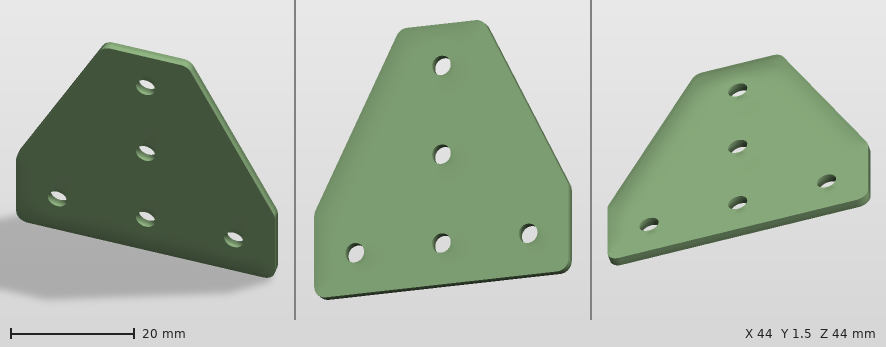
import cadquery as cq

width = 44.0
height = 44.0
thickness = 1.5
top_width = 14.35
side_height = 14.45
corner_radius = 2.0
hole_diameter = 3.25
hole_pitch = 15.0
hole_row_height = 7.0

bottom = -height / 2
top = height / 2
shoulder = bottom + side_height
outline = [
    (-width / 2, bottom),
    (width / 2, bottom),
    (width / 2, shoulder),
    (top_width / 2, top),
    (-top_width / 2, top),
    (-width / 2, shoulder),
]

first_row = bottom + hole_row_height
hole_centres = [(column * hole_pitch, first_row) for column in (-1, 0, 1)]
hole_centres += [(0, first_row + row * hole_pitch) for row in (1, 2)]


def make_plate():
    """Tapered plate with all six corners rounded."""
    back_plane = cq.Workplane("XZ", origin=(0, thickness / 2, 0))
    plate = back_plane.polyline(outline).close().extrude(thickness)
    return plate.edges("|Y").fillet(corner_radius)


def make_holes():
    """Cylinders that pass through the whole thickness."""
    back_plane = cq.Workplane("XZ", origin=(0, thickness / 2, 0))
    return back_plane.pushPoints(hole_centres).circle(hole_diameter / 2).extrude(thickness)


result = make_plate().cut(make_holes())